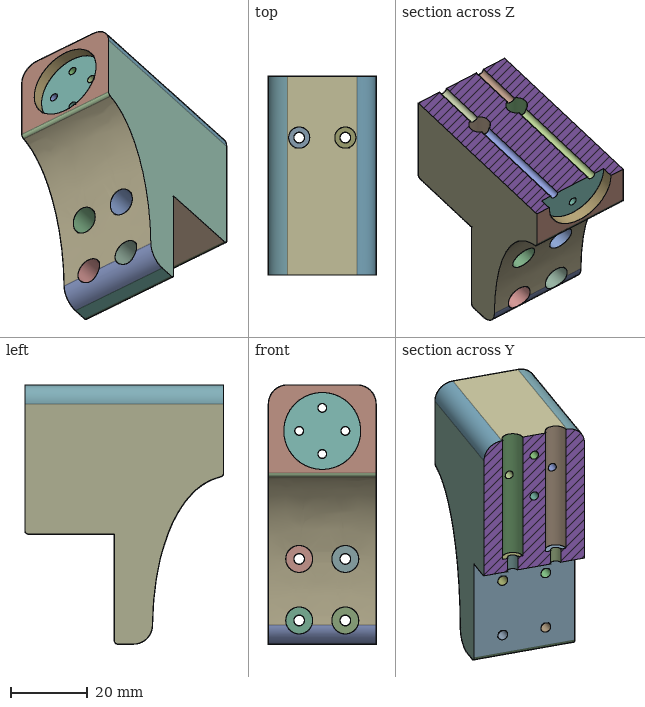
import cadquery as cq

WIDTH = 28.1
DEPTH = 51.74
HEIGHT = 67.5

BLOCK_HEIGHT = 38.9
LEG_THICKNESS = 10.0
BLOCK_OVERHANG = 23.24
TOP_RADIUS = 5.0
TOE_RADIUS = 5.0
EDGE_RADIUS = 1.0

LEG_BACK = DEPTH - BLOCK_OVERHANG
LEG_FRONT = LEG_BACK - LEG_THICKNESS
BLOCK_BOTTOM = HEIGHT - BLOCK_HEIGHT

NOSE_BOTTOM = 43.7
NOSE_HANDLE_REACH = 10.8
NOSE_HANDLE_DROP = 1.6
LEG_HANDLE_SETBACK = 0.3
LEG_HANDLE_RISE = 21.5

POCKET_DIAMETER = 20.0
POCKET_DEPTH = 3.2
POCKET_Z = HEIGHT - 12.0
RING_RADIUS = 6.0
RING_HOLE_COUNT = 4
RING_HOLE_DIAMETER = 2.2

SCREW_SPACING = 12.0
SCREW_HOLE_DIAMETER = 2.7
SCREW_SEAT_THICKNESS = 4.0
LEG_COUNTERBORE_DIAMETER = 7.0
BLOCK_COUNTERBORE_DIAMETER = 5.5
LEG_SCREW_HEIGHTS = (6.2, 22.2)
BLOCK_SCREW_Y = DEPTH - 16.0


def cylinder_between(start, end, diameter):
    """Cylinder whose axis runs from point start to point end."""
    axis = cq.Vector(*end) - cq.Vector(*start)
    solid = cq.Solid.makeCylinder(diameter / 2, axis.Length, cq.Vector(*start), axis)
    return cq.Workplane(obj=solid)


def make_body():
    curve = [
        (LEG_FRONT, TOE_RADIUS),
        (LEG_FRONT - LEG_HANDLE_SETBACK, TOE_RADIUS + LEG_HANDLE_RISE),
        (NOSE_HANDLE_REACH, NOSE_BOTTOM - NOSE_HANDLE_DROP),
        (0, NOSE_BOTTOM),
    ]
    toe_mid_offset = TOE_RADIUS * (1 - 0.5 ** 0.5)
    body = (
        cq.Workplane("YZ", origin=(-WIDTH / 2, 0, 0))
        .moveTo(0, HEIGHT)
        .lineTo(DEPTH, HEIGHT)
        .lineTo(DEPTH, BLOCK_BOTTOM)
        .lineTo(LEG_BACK, BLOCK_BOTTOM)
        .lineTo(LEG_BACK, 0)
        .lineTo(LEG_FRONT + TOE_RADIUS, 0)
        .threePointArc((LEG_FRONT + toe_mid_offset, toe_mid_offset), curve[0])
        .bezier(curve)
        .close()
        .extrude(WIDTH)
    )
    return round_edges(body)


def round_edges(body):
    body = body.edges("|Y and >Z").fillet(TOP_RADIUS)
    small_edges = [(0, NOSE_BOTTOM), (DEPTH, BLOCK_BOTTOM), (LEG_BACK, 0)]
    for y, z in small_edges:
        edge = body.edges("|X").edges(cq.NearestToPointSelector((0, y, z)))
        body = edge.fillet(EDGE_RADIUS)
    return body


def cut_front_pocket(body):
    pocket = cylinder_between((0, 0, POCKET_Z), (0, POCKET_DEPTH, POCKET_Z), POCKET_DIAMETER)
    ring_holes = (
        cq.Workplane("XZ", origin=(0, 0, POCKET_Z))
        .polarArray(RING_RADIUS, 0, 360, RING_HOLE_COUNT)
        .circle(RING_HOLE_DIAMETER / 2)
        .extrude(-DEPTH)
    )
    return body.cut(pocket).cut(ring_holes)


def cut_leg_screws(body):
    seat_y = LEG_BACK - SCREW_SEAT_THICKNESS
    for x in (-SCREW_SPACING / 2, SCREW_SPACING / 2):
        for z in LEG_SCREW_HEIGHTS:
            body = body.cut(cylinder_between((x, 0, z), (x, LEG_BACK, z), SCREW_HOLE_DIAMETER))
            body = body.cut(cylinder_between((x, 0, z), (x, seat_y, z), LEG_COUNTERBORE_DIAMETER))
    return body


def cut_block_screws(body):
    y = BLOCK_SCREW_Y
    seat_z = BLOCK_BOTTOM + SCREW_SEAT_THICKNESS
    for x in (-SCREW_SPACING / 2, SCREW_SPACING / 2):
        body = body.cut(cylinder_between((x, y, BLOCK_BOTTOM), (x, y, HEIGHT), SCREW_HOLE_DIAMETER))
        body = body.cut(cylinder_between((x, y, seat_z), (x, y, HEIGHT), BLOCK_COUNTERBORE_DIAMETER))
    return body


body = make_body()
body = cut_front_pocket(body)
body = cut_leg_screws(body)
result = cut_block_screws(body)